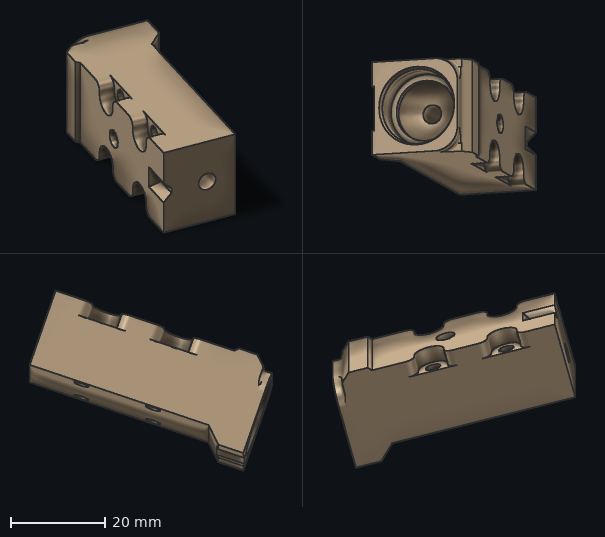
import cadquery as cq
import math

length = 49.0
depth = 21.05
height = 20.0
half_height = height / 2

body_front = 0.8
body_back = 17.75
head_back_end = 5.6
head_slope_end = head_back_end + depth - body_back
head_foot_start = 4.0
head_foot_end = 8.2

nose_front = 2.0
nose_length = head_foot_start - nose_front
nose_corner_radius = 5.0
nose_corner_cove = 0.65
nose_edge_cove = 1.45
ledge_round = 0.85
ledge_round_length = 1.75

groove_width = 9.6
groove_depth = 0.5

bore_axis_y = 11.05
mouth_diameter = 16.85
mouth_length = 1.0
bore_diameter = 16.0
bore_taper_start = 2.45
seat_diameter = 15.8
bore_taper_end = 3.15
seat_taper_start = 5.5
seat_floor_diameter = 15.5
seat_end = 6.0
bowl_diameter = 13.0
bowl_sphere_radius = bore_diameter / 2
bowl_start = 7.35
outlet_diameter = 4.0

screw_xs = (21.4, 37.45)
screw_z = 7.5
screw_diameter = 3.2
recess_radius = 3.25
recess_lip_radius = 1.95
recess_floor = 4.25

port_x = 25.05
port_diameter = 2.8
port_mouth_diameter = 4.0
port_depth = 4.9
port_countersink = 1.2

slot_start = 41.95
slot_half_width = 2.45
slot_floor_half_width = 0.55
slot_depth = slot_half_width - slot_floor_half_width


def make_block():
    """Extrude the head and body outline with the cove behind the nose."""
    tangent = nose_edge_cove * math.tan(math.pi / 8)
    cove_start_x = nose_length - tangent
    cove_drop = nose_edge_cove * (1 - math.cos(math.pi / 4))
    cove_run = nose_edge_cove * math.sin(math.pi / 4)
    cove_mid = (
        cove_start_x + nose_edge_cove * math.sin(math.pi / 8),
        nose_front - nose_edge_cove * (1 - math.cos(math.pi / 8)),
    )
    return (
        cq.Workplane("XY", origin=(0, 0, -half_height))
        .moveTo(0, nose_front)
        .lineTo(cove_start_x, nose_front)
        .threePointArc(cove_mid, (cove_start_x + cove_run, nose_front - cove_drop))
        .lineTo(head_foot_start, 0)
        .lineTo(head_foot_end, 0)
        .lineTo(head_foot_end + body_front, body_front)
        .lineTo(length, body_front)
        .lineTo(length, body_back)
        .lineTo(head_slope_end, body_back)
        .lineTo(head_back_end, depth)
        .lineTo(0, depth)
        .close()
        .extrude(height)
    )


def make_ledge_round():
    """Waste that rounds the edge between the corner ledge and the head slope."""
    tangent = ledge_round * math.tan(math.pi / 8)
    ledge_y = nose_front + tangent
    slope_shift = tangent * math.sin(math.pi / 4)
    arc_mid = (
        nose_length + ledge_round * (1 - math.cos(math.pi / 8)),
        ledge_y - ledge_round * math.sin(math.pi / 8),
    )
    slope_end = (nose_length + slope_shift, nose_front - slope_shift)
    return (
        cq.Workplane("XY", origin=(0, 0, half_height - ledge_round_length))
        .moveTo(0, ledge_y)
        .lineTo(nose_length, ledge_y)
        .threePointArc(arc_mid, slope_end)
        .lineTo(0, slope_end[1])
        .close()
        .extrude(ledge_round_length)
    )


def make_nose_corner(side):
    """Waste outside one rounded nose corner, with a cove where it meets the head."""
    axis_y = nose_front + nose_corner_radius
    axis_z = half_height - nose_corner_radius
    waste = cq.Workplane("XY").box(
        nose_length, axis_y, nose_corner_radius, centered=False
    ).translate((0, 0, axis_z))
    cove_start = nose_length - nose_corner_cove
    cove_shift = nose_corner_cove * math.sin(math.pi / 4)
    flared_post = (
        cq.Workplane("XY")
        .lineTo(0, nose_corner_radius)
        .lineTo(cove_start, nose_corner_radius)
        .threePointArc(
            (cove_start + cove_shift, nose_corner_radius + nose_corner_cove - cove_shift),
            (nose_length, nose_corner_radius + nose_corner_cove),
        )
        .lineTo(nose_length, 0)
        .close()
        .revolve(360, (0, 0, 0), (1, 0, 0))
        .translate((0, axis_y, axis_z))
    )
    waste = waste.cut(flared_post).union(make_ledge_round())
    return waste if side > 0 else waste.mirror("XY")


def make_groove():
    return (
        cq.Workplane("XY")
        .box(head_slope_end, groove_depth, groove_width, centered=(False, False, True))
        .translate((0, depth - groove_depth, 0))
    )


def make_bore():
    """Revolve the whole bore, from the tapered mouth to the outlet."""
    bowl_radius = bowl_diameter / 2
    outlet_radius = outlet_diameter / 2
    sphere_x = bowl_start - math.sqrt(bowl_sphere_radius**2 - bowl_radius**2)
    bowl_end = sphere_x + math.sqrt(bowl_sphere_radius**2 - outlet_radius**2)
    bowl_mid_radius = (bowl_radius + outlet_radius) / 2
    bowl_mid = sphere_x + math.sqrt(bowl_sphere_radius**2 - bowl_mid_radius**2)
    return (
        cq.Workplane("XY")
        .lineTo(0, mouth_diameter / 2)
        .lineTo(mouth_length, bore_diameter / 2)
        .lineTo(bore_taper_start, bore_diameter / 2)
        .lineTo(bore_taper_end, seat_diameter / 2)
        .lineTo(seat_taper_start, seat_diameter / 2)
        .lineTo(seat_end, seat_floor_diameter / 2)
        .lineTo(seat_end, bowl_radius)
        .lineTo(bowl_start, bowl_radius)
        .threePointArc((bowl_mid, bowl_mid_radius), (bowl_end, outlet_radius))
        .lineTo(length, outlet_radius)
        .lineTo(length, 0)
        .close()
        .revolve(360, (0, 0, 0), (1, 0, 0))
        .translate((0, bore_axis_y, 0))
    )


def make_screw_cut(x, side):
    """Screw hole through the body and its recess, flared at the open edge."""
    lip_z = half_height - recess_lip_radius
    lip_shift = recess_lip_radius * (1 - math.sin(math.pi / 4))
    lip_mid_z = half_height - lip_shift
    open_half_width = recess_radius + recess_lip_radius
    recess = (
        cq.Workplane("XZ")
        .moveTo(-open_half_width, half_height)
        .threePointArc((-recess_radius - lip_shift, lip_mid_z), (-recess_radius, lip_z))
        .lineTo(-recess_radius, screw_z)
        .threePointArc((0, screw_z - recess_radius), (recess_radius, screw_z))
        .lineTo(recess_radius, lip_z)
        .threePointArc((recess_radius + lip_shift, lip_mid_z), (open_half_width, half_height))
        .close()
        .extrude(-recess_floor)
    )
    hole = cq.Workplane("XZ").center(0, screw_z).circle(screw_diameter / 2).extrude(-depth)
    cut = recess.union(hole)
    if side < 0:
        cut = cut.mirror("XY")
    return cut.translate((x, 0, 0))


def make_port():
    """Blind port with a steep countersink in the front of the body."""
    port_radius = port_diameter / 2
    mouth_radius = port_mouth_diameter / 2
    return (
        cq.Workplane("XY")
        .lineTo(mouth_radius, 0)
        .lineTo(port_radius, port_countersink)
        .lineTo(port_radius, port_depth)
        .lineTo(0, port_depth)
        .close()
        .revolve(360, (0, 0, 0), (0, 1, 0))
        .translate((port_x, body_front, 0))
    )


def make_slot():
    """Slot with sloping sides and a sloping blind end, open at the far end."""
    section = [
        (-slot_half_width, 0),
        (-slot_floor_half_width, slot_depth),
        (slot_floor_half_width, slot_depth),
        (slot_half_width, 0),
    ]
    trough = (
        cq.Workplane("ZY", origin=(length, body_front, 0))
        .polyline(section)
        .close()
        .extrude(length - slot_start)
    )
    end_ramp = (
        cq.Workplane("XY", origin=(slot_start, body_front, -slot_half_width))
        .lineTo(slot_depth, slot_depth)
        .lineTo(0, slot_depth)
        .close()
        .extrude(2 * slot_half_width)
    )
    return trough.cut(end_ramp)


result = make_block().cut(make_groove()).cut(make_bore()).cut(make_port()).cut(make_slot())
for side in (-1, 1):
    result = result.cut(make_nose_corner(side))
    for screw_x in screw_xs:
        result = result.cut(make_screw_cut(screw_x, side))